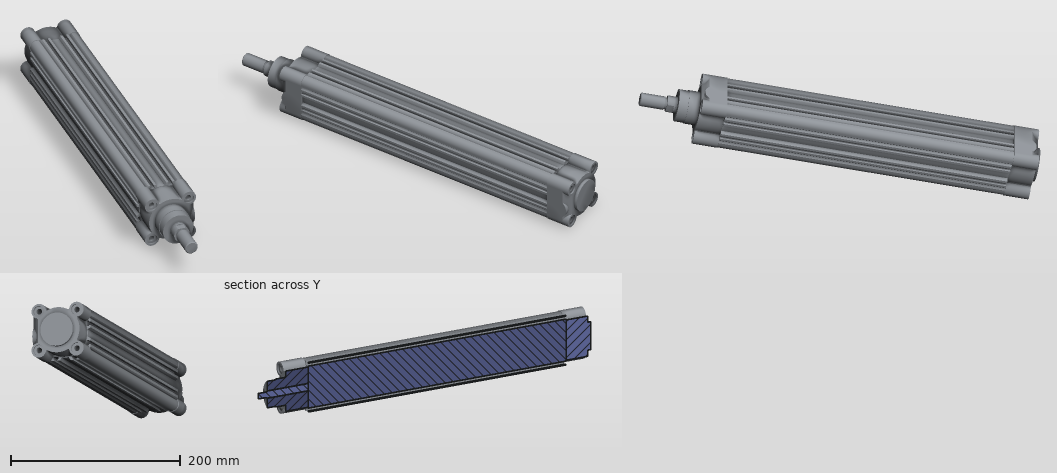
import cadquery as cq
import math


body_length = 406.0
cap_length = 30.0
tube_length = body_length - 2 * cap_length
rear_collar_length = 4.0

screw_pitch = 46.5
lug_center = screw_pitch / 2
lug_radius = 9.0
cap_half_width = lug_center + lug_radius
cap_round_radius = 27.1
cap_flat = 24.0
collar_radius = 20.0

seat_radius = 6.5
seat_depth = 2.0
hole_radius = 3.4
hole_depth = 20.0
drill_tip_angle = 118.0

ramp_length = cap_half_width - cap_flat
port_boss_radius = 13.0
port_boss_x = 16.0
port_boss_z = -5.8

neck_length = 13.5
bearing_end = 25.0
bearing_radius = 19.2

tube_half_width = 31.4
tube_round_radius = 28.0
rib_inner = 6.5
rib_foot = 4.5
slot_inner = 9.4
slot_outer = 13.7
slot_undercut = 1.0
slot_lip = 1.8
slot_floor = 26.6
groove_inner = 16.6
groove_outer = 20.9
groove_depth = (groove_outer - groove_inner) / 2
corner_start = 23.8

rod_radius = 10.0
shank_start = 26.5
shank_radius = 9.8
rod_shoulder = 37.0
flat_start = 29.0
flat_half_width = 8.5
thread_radius = 8.0
thread_length = 32.0
relief_radius = 7.0
relief_length = 3.0
thread_chamfer = 1.0


def cylinder_x(radius, start, length, y=0, z=0):
    """A cylinder along X."""
    return cq.Workplane("YZ", origin=(start, y, z)).circle(radius).extrude(length)


def screw_hole(y, z):
    """Flat screw seat with a drilled hole, entering the cap at x = 0."""
    tip = hole_radius / math.tan(math.radians(drill_tip_angle / 2))
    profile = [
        (0, 0),
        (0, seat_radius),
        (seat_depth, seat_radius),
        (seat_depth, hole_radius),
        (hole_depth, hole_radius),
        (hole_depth + tip, 0),
    ]
    hole = cq.Workplane("XY").polyline(profile).close()
    return hole.revolve(360, (0, 0, 0), (1, 0, 0)).translate((0, y, z))


def port_side():
    """Pad between the two +Y lugs, sloping down to the outer face, with a round port boss."""
    profile = [
        (0, 0),
        (0, cap_flat),
        (ramp_length, cap_half_width),
        (cap_length, cap_half_width),
        (cap_length, 0),
    ]
    pad = cq.Workplane("XY").polyline(profile).close().extrude(lug_center, both=True)
    boss = cq.Workplane("XZ", origin=(port_boss_x, 0, port_boss_z)).circle(port_boss_radius)
    return pad.union(boss.extrude(-cap_half_width))


def end_cap():
    """End cap with its outer face at x = 0; the round body is cut flat on the port side."""
    cap = cylinder_x(cap_round_radius, 0, cap_length)
    core = cq.Workplane("YZ").rect(2 * cap_flat, 2 * cap_flat).extrude(cap_length)
    port_trim = cq.Workplane("XY").box(cap_length, cap_flat, 2 * cap_flat)
    cap = cap.cut(port_trim.translate((cap_length / 2, 1.5 * cap_flat, 0)))
    cap = cap.union(core).union(port_side())
    corners = [(y, z) for y in (-lug_center, lug_center) for z in (-lug_center, lug_center)]
    for y, z in corners:
        cap = cap.union(cylinder_x(lug_radius, 0, cap_length, y, z))
    for y, z in corners:
        cap = cap.cut(screw_hole(y, z))
    return cap


def make_rear_cap():
    return end_cap().union(cylinder_x(collar_radius, -rear_collar_length, rear_collar_length))


def make_front_cap():
    cap = end_cap().mirror("YZ").translate((body_length, 0, 0))
    cap = cap.union(cylinder_x(collar_radius, body_length, neck_length))
    cap = cap.union(cylinder_x(bearing_radius, body_length + neck_length, bearing_end - neck_length))
    bore_length = cap_length + bearing_end
    return cap.cut(cylinder_x(rod_radius, body_length - cap_length, bore_length))


def side_grooves(side):
    """Grooves of the +Z tube side, on the half where Y has the sign of `side`."""
    lip_bottom = tube_half_width - slot_lip
    slot = [
        (slot_inner, tube_half_width),
        (slot_inner, lip_bottom),
        (slot_inner - slot_undercut, lip_bottom),
        (slot_inner - slot_undercut, slot_floor),
        (slot_outer + slot_undercut, slot_floor),
        (slot_outer + slot_undercut, lip_bottom),
        (slot_outer, lip_bottom),
        (slot_outer, tube_half_width),
    ]
    vee = [
        (groove_inner, tube_half_width),
        ((groove_inner + groove_outer) / 2, tube_half_width - groove_depth),
        (groove_outer, tube_half_width),
    ]
    grooves = cq.Workplane("YZ", origin=(cap_length, 0, 0))
    for outline in (slot, vee):
        grooves = grooves.polyline([(side * y, z) for y, z in outline]).close()
    return grooves.extrude(tube_length)


def middle_recess():
    """Shallow recess along the middle of the +Z tube side, with a round floor."""
    foot_height = math.sqrt(tube_round_radius**2 - rib_foot**2)
    recess = (
        cq.Workplane("YZ", origin=(cap_length, 0, 0))
        .moveTo(-rib_inner, tube_half_width)
        .lineTo(-rib_foot, foot_height)
        .threePointArc((0, tube_round_radius), (rib_foot, foot_height))
        .lineTo(rib_inner, tube_half_width)
        .close()
    )
    return recess.extrude(tube_length)


def make_tube():
    tube = cq.Workplane("YZ", origin=(cap_length, 0, 0)).rect(2 * tube_half_width, 2 * tube_half_width)
    tube = tube.extrude(tube_length)
    tube = tube.edges("|X").fillet(tube_half_width - corner_start)
    cutter = side_grooves(1).union(side_grooves(-1)).union(middle_recess())
    for turn in range(4):
        tube = tube.cut(cutter.rotate((0, 0, 0), (1, 0, 0), 90 * turn))
    return tube


def make_rod():
    shoulder = body_length + rod_shoulder
    start = body_length - cap_length
    shank = body_length + shank_start
    rod = cylinder_x(rod_radius, start, shank - start)
    rod = rod.union(cylinder_x(shank_radius, shank, shoulder - shank))
    flat_length = rod_shoulder - flat_start
    for side in (-1, 1):
        flat = cq.Workplane("XY").box(flat_length, 2 * rod_radius, rod_radius)
        flat_z = side * (flat_half_width + rod_radius / 2)
        rod = rod.cut(flat.translate((shoulder - flat_length / 2, 0, flat_z)))
    thread = cylinder_x(thread_radius, shoulder + relief_length, thread_length - relief_length)
    thread = thread.faces(">X").chamfer(thread_chamfer)
    return rod.union(cylinder_x(relief_radius, shoulder, relief_length)).union(thread)


rear_cap = make_rear_cap()
tube = make_tube()
front_cap = make_front_cap()
rod = make_rod()

result = cq.Compound.makeCompound([rear_cap.val(), tube.val(), front_cap.val(), rod.val()])